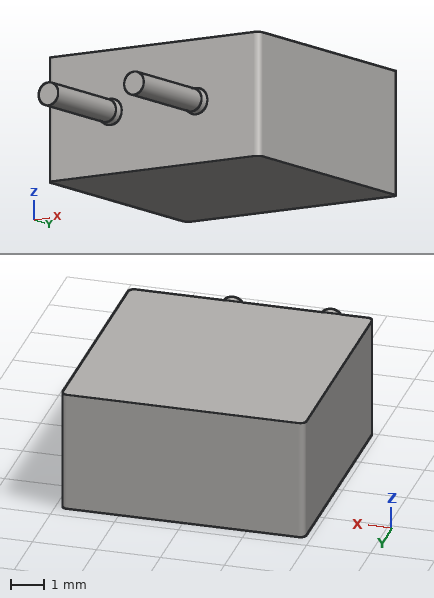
import cadquery as cq

housing_side = 7.62
housing_height = 3.8
corner_radius = 0.19

overall_length = 11.03
lead_diameter = 0.71
lead_pitch = 3.08

collar_base_diameter = 0.8
collar_length = 0.24

front_face_y = -housing_side / 2
collar_tip_y = front_face_y - collar_length
lead_length = overall_length - housing_side - collar_length
lead_positions = [-lead_pitch / 2, lead_pitch / 2]


def make_collar(x):
    """Conical collar whose wide end sits on the front face of the housing."""
    return cq.Solid.makeCone(
        collar_base_diameter / 2,
        lead_diameter / 2,
        collar_length,
        pnt=cq.Vector(x, front_face_y, 0),
        dir=cq.Vector(0, -1, 0),
    )


def make_housing():
    """Rounded block carrying one collar for each lead."""
    block = cq.Workplane("XY").box(housing_side, housing_side, housing_height)
    block = block.edges("|Z").fillet(corner_radius)
    for x in lead_positions:
        block = block.union(cq.Workplane(make_collar(x)))
    return block


def make_lead(x):
    """Straight round lead that starts at the tip of its collar."""
    return cq.Solid.makeCylinder(
        lead_diameter / 2,
        lead_length,
        pnt=cq.Vector(x, collar_tip_y, 0),
        dir=cq.Vector(0, -1, 0),
    )


housing = make_housing()
leads = [make_lead(x) for x in lead_positions]

result = cq.Compound.makeCompound([housing.val(), *leads])